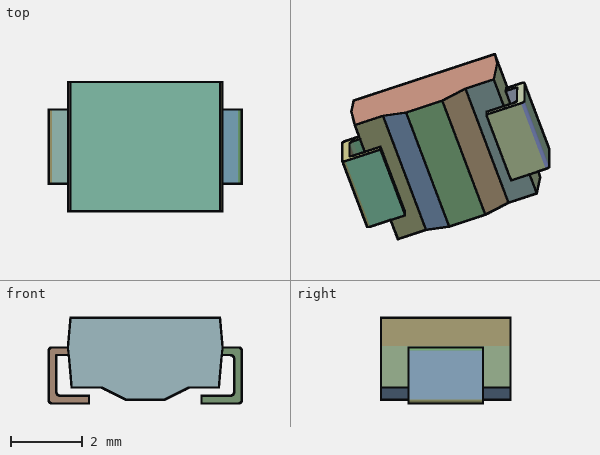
import cadquery as cq

LENGTH = 5.4
DEPTH = 3.62
HEIGHT = 2.4

TOP_HALF_WIDTH = 2.09
PARTING_HALF_WIDTH = 2.16
UNDERSIDE_HALF_WIDTH = 2.06
PARTING_HEIGHT = 1.6
UNDERSIDE_HEIGHT = 0.445

KEEL_ROOT_HALF_WIDTH = 1.22
KEEL_TIP_HALF_WIDTH = 0.535
KEEL_TIP_HEIGHT = 0.1

LEAD_DEPTH = 2.085
LEAD_TOP_HEIGHT = 1.57
LEAD_THICKNESS = 0.22
FOOT_LENGTH = 1.135
BEND_RADIUS = 0.1

half_length = LENGTH / 2
lead_inner_x = half_length - LEAD_THICKNESS
arm_underside_height = LEAD_TOP_HEIGHT - LEAD_THICKNESS
arm_end_x = half_length - FOOT_LENGTH


def extrude_along_y(outline, depth):
    """Extrude a closed XZ outline by depth, centred on Y = 0."""
    return cq.Workplane("XZ").polyline(outline).close().extrude(depth / 2, both=True)


def make_body():
    """Body with side walls that taper away from the parting line, and a keel below."""
    right_side = [
        (TOP_HALF_WIDTH, HEIGHT),
        (PARTING_HALF_WIDTH, PARTING_HEIGHT),
        (UNDERSIDE_HALF_WIDTH, UNDERSIDE_HEIGHT),
        (KEEL_ROOT_HALF_WIDTH, UNDERSIDE_HEIGHT),
        (KEEL_TIP_HALF_WIDTH, KEEL_TIP_HEIGHT),
    ]
    left_side = [(-x, z) for x, z in reversed(right_side)]
    return extrude_along_y(right_side + left_side, DEPTH)


def make_lead(side, rounded_inner_heights):
    """Lead on one side (+1 right, -1 left), with inner bends rounded at the given heights."""
    right_outline = [
        (arm_end_x, LEAD_TOP_HEIGHT),
        (half_length, LEAD_TOP_HEIGHT),
        (half_length, 0),
        (arm_end_x, 0),
        (arm_end_x, LEAD_THICKNESS),
        (lead_inner_x, LEAD_THICKNESS),
        (lead_inner_x, arm_underside_height),
        (arm_end_x, arm_underside_height),
    ]
    lead = extrude_along_y([(side * x, z) for x, z in right_outline], LEAD_DEPTH)
    bends = [(half_length, LEAD_TOP_HEIGHT), (half_length, 0)]
    bends += [(lead_inner_x, height) for height in rounded_inner_heights]
    for x, z in bends:
        bend_edge = cq.selectors.NearestToPointSelector((side * x, 0, z))
        lead = lead.edges("|Y").edges(bend_edge).fillet(BEND_RADIUS)
    return lead


left_lead = make_lead(-1, [LEAD_THICKNESS])
right_lead = make_lead(1, [LEAD_THICKNESS, arm_underside_height])

result = make_body().union(left_lead).union(right_lead)